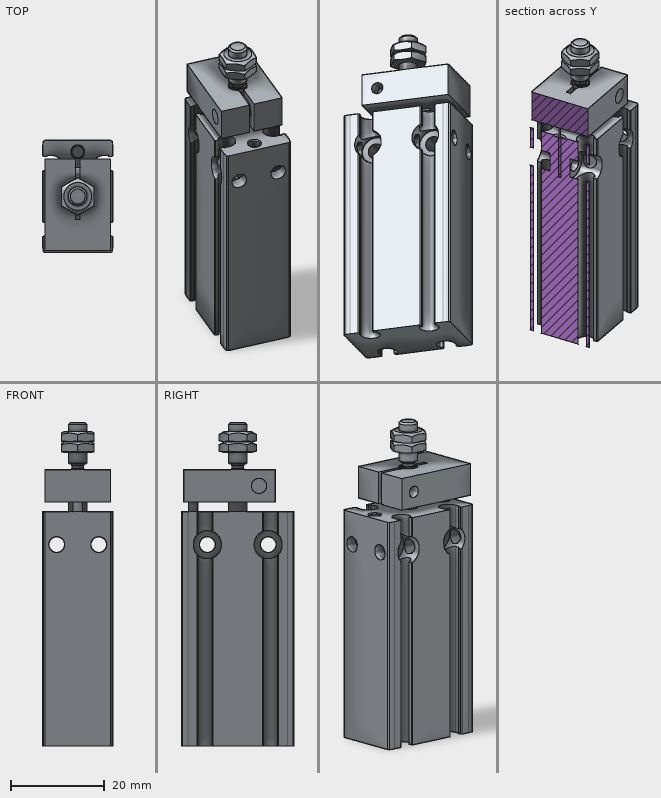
import cadquery as cq
import math

TOTAL_HEIGHT = 69.0
HOUSING_WIDTH = 15.0
HOUSING_DEPTH = 24.0
HOUSING_HEIGHT = 50.0
HALF_WIDTH = HOUSING_WIDTH / 2
HALF_DEPTH = HOUSING_DEPTH / 2

CORNER_DROP = 0.2
FLANK_CURVE_START = 10.55
CORNER_CHAMFER = 0.3

GROOVE_DIAMETER = 4.15
GROOVE_AXIS_X = 5.4
GROOVE_AXIS_Y = 6.6
SLOT_INNER_Y = 5.5
SLOT_OUTER_Y = 8.5
LIP_THICKNESS = 1.0
SLOT_EDGE_CHAMFER = 0.2

MOUNT_HOLE_DIAMETER = 3.3
MOUNT_HOLE_Z = 43.0
SIDE_HOLE_Y = 6.5
FRONT_HOLE_X = 4.5
COUNTERBORE_DIAMETER = 6.0
COUNTERBORE_DEPTH = 5.0

PORT_Y = 9.5
PORT_DIAMETER = 2.5
PORT_RIM_DIAMETER = 3.0
PORT_DEPTH = 3.0

ROD_DIAMETER = 4.0
ROD_INSERTION = 10.0
ROD_END_DIAMETER = 3.2
COLLAR_DIAMETER = 2.7
COLLAR_HEIGHT = 0.3
NECK_DIAMETER = 2.5
THREAD_START_Z = 60.2
SHOULDER_CHAMFER = 0.3
ROD_END_CHAMFER = (ROD_DIAMETER - ROD_END_DIAMETER) / 2

PLATE_WIDTH = 14.0
PLATE_BACK_Y = 8.0
PLATE_FRONT_Y = -11.5
PLATE_THICKNESS = 7.0
PLATE_GAP = 2.0
PLATE_BOTTOM_Z = HOUSING_HEIGHT + PLATE_GAP
PLATE_TOP_Z = PLATE_BOTTOM_Z + PLATE_THICKNESS
SLIT_WIDTH = 1.05
SLIT_FRONT_Y = -4.9
GUIDE_Y = -PORT_Y
GUIDE_DIAMETER = 2.0
GUIDE_INSERTION = 10.0
GUIDE_RECESS_FLOOR_DIAMETER = 3.0
GUIDE_RECESS_RIM_DIAMETER = 3.6

SCREW_Y = 4.55
SCREW_Z = PLATE_BOTTOM_Z + PLATE_THICKNESS / 2
SCREW_DIAMETER = 3.25
SCREW_ACCESS_DIAMETER = 2.5
SCREW_ACCESS_DEPTH = 3.5

NUT_ACROSS_FLATS = 7.0
NUT_FACE_DIAMETER = 5.9
NUT_THICKNESS = 2.2
NUT_COUNT = 2
HEXAGON_HALF_ANGLE = 30
NUT_STACK_BOTTOM_Z = 62.65
NUT_TOP_CHAMFER_ANGLE = 30
NUT_BOTTOM_CHAMFER_ANGLE = 15


def cylinder(diameter, z_bottom, z_top, y=0.0):
    """Upright cylinder between two heights."""
    return cq.Workplane("XY", origin=(0, y, z_bottom)).circle(diameter / 2).extrude(z_top - z_bottom)


def cylinder_along_x(diameter, x_start, x_end, y, z):
    return cq.Workplane("YZ", origin=(x_start, y, z)).circle(diameter / 2).extrude(x_end - x_start)


def cone_rim(rim_diameter, hole_diameter, y):
    """45 degree countersink at the top face of the housing."""
    depth = (rim_diameter - hole_diameter) / 2
    return (
        cq.Workplane("XY", origin=(0, y, HOUSING_HEIGHT - depth))
        .circle(hole_diameter / 2)
        .workplane(offset=depth)
        .circle(rim_diameter / 2)
        .loft()
    )


def housing_blank():
    """Extruded outline of the housing without grooves or holes."""
    corner_x = HALF_WIDTH - CORNER_DROP
    run = HALF_DEPTH - FLANK_CURVE_START
    radius = (run**2 + CORNER_DROP**2) / (2 * CORNER_DROP)
    mid_y = FLANK_CURVE_START + run / 2
    mid_x = HALF_WIDTH - radius + math.sqrt(radius**2 - (run / 2) ** 2)
    outline = (
        cq.Workplane("XY")
        .moveTo(-corner_x, -HALF_DEPTH)
        .lineTo(corner_x, -HALF_DEPTH)
        .threePointArc((mid_x, -mid_y), (HALF_WIDTH, -FLANK_CURVE_START))
        .lineTo(HALF_WIDTH, FLANK_CURVE_START)
        .threePointArc((mid_x, mid_y), (corner_x, HALF_DEPTH))
        .lineTo(-corner_x, HALF_DEPTH)
        .threePointArc((-mid_x, mid_y), (-HALF_WIDTH, FLANK_CURVE_START))
        .lineTo(-HALF_WIDTH, -FLANK_CURVE_START)
        .threePointArc((-mid_x, -mid_y), (-corner_x, -HALF_DEPTH))
        .close()
    )
    blank = outline.extrude(HOUSING_HEIGHT)
    return blank.faces("<Y or >Y").edges("|Z").chamfer(CORNER_CHAMFER)


def sensor_groove():
    """Cutter for the groove at +X, +Y: a narrow slot that opens into a round channel."""
    radius = GROOVE_DIAMETER / 2
    lip_x = HALF_WIDTH - LIP_THICKNESS
    channel_outer_y = GROOVE_AXIS_Y + radius
    slot = (
        cq.Workplane("XY")
        .moveTo(GROOVE_AXIS_X, SLOT_INNER_Y)
        .lineTo(HALF_WIDTH - SLOT_EDGE_CHAMFER, SLOT_INNER_Y)
        .lineTo(HALF_WIDTH, SLOT_INNER_Y - SLOT_EDGE_CHAMFER)
        .lineTo(HALF_WIDTH, SLOT_OUTER_Y + SLOT_EDGE_CHAMFER)
        .lineTo(HALF_WIDTH - SLOT_EDGE_CHAMFER, SLOT_OUTER_Y)
        .lineTo(lip_x, SLOT_OUTER_Y)
        .lineTo(lip_x, channel_outer_y)
        .lineTo(GROOVE_AXIS_X, channel_outer_y)
        .close()
        .extrude(HOUSING_HEIGHT)
    )
    channel = cq.Workplane("XY").center(GROOVE_AXIS_X, GROOVE_AXIS_Y).circle(radius).extrude(HOUSING_HEIGHT)
    lip = (
        cq.Workplane("XY")
        .center(lip_x + GROOVE_DIAMETER / 2, GROOVE_AXIS_Y)
        .rect(GROOVE_DIAMETER, 2 * GROOVE_DIAMETER)
        .extrude(HOUSING_HEIGHT)
    )
    return slot.union(channel.cut(lip))


def make_housing():
    """Housing with its sensor grooves, mounting holes, air port and rod bores."""
    housing = housing_blank()

    groove = sensor_groove()
    mirrored_groove = groove.mirror("XZ")
    for cutter in (groove, mirrored_groove):
        housing = housing.cut(cutter).cut(cutter.mirror("YZ"))

    for y in (-SIDE_HOLE_Y, SIDE_HOLE_Y):
        housing = housing.cut(cylinder_along_x(MOUNT_HOLE_DIAMETER, -HALF_WIDTH, HALF_WIDTH, y, MOUNT_HOLE_Z))
        for side in (-1, 1):
            floor_x = side * (HALF_WIDTH - COUNTERBORE_DEPTH)
            mouth_x = side * HALF_WIDTH
            housing = housing.cut(cylinder_along_x(COUNTERBORE_DIAMETER, floor_x, mouth_x, y, MOUNT_HOLE_Z))

    front_holes = (
        cq.Workplane("XZ", origin=(0, HALF_DEPTH, MOUNT_HOLE_Z))
        .pushPoints([(-FRONT_HOLE_X, 0), (FRONT_HOLE_X, 0)])
        .circle(MOUNT_HOLE_DIAMETER / 2)
        .extrude(HOUSING_DEPTH)
    )
    housing = housing.cut(front_holes)

    housing = housing.cut(cylinder(PORT_DIAMETER, HOUSING_HEIGHT - PORT_DEPTH, HOUSING_HEIGHT, PORT_Y))
    housing = housing.cut(cone_rim(PORT_RIM_DIAMETER, PORT_DIAMETER, PORT_Y))

    housing = housing.cut(cylinder(GUIDE_DIAMETER, HOUSING_HEIGHT - GUIDE_INSERTION, HOUSING_HEIGHT, GUIDE_Y))
    housing = housing.cut(cone_rim(GUIDE_RECESS_RIM_DIAMETER, GUIDE_RECESS_FLOOR_DIAMETER, GUIDE_Y))

    return housing.cut(cylinder(ROD_DIAMETER, HOUSING_HEIGHT - ROD_INSERTION, HOUSING_HEIGHT))


def make_piston_rod():
    """Shank, waisted neck and threaded end, all on the Z axis."""
    shank = cylinder(ROD_DIAMETER, HOUSING_HEIGHT - ROD_INSERTION, PLATE_TOP_Z)
    shank = shank.faces(">Z").chamfer(SHOULDER_CHAMFER)
    neck = cylinder(NECK_DIAMETER, PLATE_TOP_Z, THREAD_START_Z)
    lower_collar = cylinder(COLLAR_DIAMETER, PLATE_TOP_Z, PLATE_TOP_Z + COLLAR_HEIGHT)
    upper_collar = cylinder(COLLAR_DIAMETER, THREAD_START_Z - COLLAR_HEIGHT, THREAD_START_Z)
    thread = cylinder(ROD_DIAMETER, THREAD_START_Z, TOTAL_HEIGHT)
    thread = thread.faces("<Z").chamfer(SHOULDER_CHAMFER).faces(">Z").chamfer(ROD_END_CHAMFER)
    return shank.union(neck).union(lower_collar).union(upper_collar).union(thread)


def make_clamp_plate():
    """Slit plate that clamps the rod, with the guide pin that keeps it from turning."""
    depth = PLATE_BACK_Y - PLATE_FRONT_Y
    mid_y = (PLATE_BACK_Y + PLATE_FRONT_Y) / 2
    plate = (
        cq.Workplane("XY", origin=(0, mid_y, PLATE_BOTTOM_Z))
        .rect(PLATE_WIDTH, depth)
        .extrude(PLATE_THICKNESS)
    )
    slit_length = PLATE_BACK_Y - SLIT_FRONT_Y
    slit = (
        cq.Workplane("XY", origin=(0, SLIT_FRONT_Y + slit_length / 2, PLATE_BOTTOM_Z))
        .rect(SLIT_WIDTH, slit_length)
        .extrude(PLATE_THICKNESS)
    )
    plate = plate.cut(slit).cut(cylinder(ROD_DIAMETER, PLATE_BOTTOM_Z, PLATE_TOP_Z))

    access_x = -PLATE_WIDTH / 2
    access_end_x = access_x + SCREW_ACCESS_DEPTH
    plate = plate.cut(cylinder_along_x(SCREW_ACCESS_DIAMETER, access_x, access_end_x, SCREW_Y, SCREW_Z))
    plate = plate.cut(make_clamp_screw())

    guide_pin = cylinder(GUIDE_DIAMETER, HOUSING_HEIGHT - GUIDE_INSERTION, PLATE_BOTTOM_Z, GUIDE_Y)
    return plate.union(guide_pin)


def make_clamp_screw():
    """Plain shank from the bottom of the access hole to the +X face of the plate."""
    tip_x = -PLATE_WIDTH / 2 + SCREW_ACCESS_DEPTH
    return cylinder_along_x(SCREW_DIAMETER, tip_x, PLATE_WIDTH / 2, SCREW_Y, SCREW_Z)


def make_nut(z_bottom):
    """Hexagon nut with corners along Y and conical chamfers, steeper on the top face."""
    across_corners = NUT_ACROSS_FLATS / math.cos(math.radians(HEXAGON_HALF_ANGLE))
    corner_radius = across_corners / 2
    face_radius = NUT_FACE_DIAMETER / 2
    chamfer_run = corner_radius - face_radius
    top_drop = chamfer_run * math.tan(math.radians(NUT_TOP_CHAMFER_ANGLE))
    bottom_drop = chamfer_run * math.tan(math.radians(NUT_BOTTOM_CHAMFER_ANGLE))
    hexagon = (
        cq.Workplane("XY")
        .polygon(6, across_corners)
        .extrude(NUT_THICKNESS)
        .rotate((0, 0, 0), (0, 0, 1), HEXAGON_HALF_ANGLE)
    )
    double_cone = (
        cq.Workplane("XZ")
        .moveTo(0, 0)
        .lineTo(face_radius, 0)
        .lineTo(corner_radius, bottom_drop)
        .lineTo(corner_radius, NUT_THICKNESS - top_drop)
        .lineTo(face_radius, NUT_THICKNESS)
        .lineTo(0, NUT_THICKNESS)
        .close()
        .revolve(360, (0, 0, 0), (0, 1, 0))
    )
    nut = hexagon.intersect(double_cone).cut(cylinder(ROD_DIAMETER, 0, NUT_THICKNESS))
    return nut.translate((0, 0, z_bottom))


housing = make_housing()
piston_rod = make_piston_rod()
clamp_plate = make_clamp_plate()
clamp_screw = make_clamp_screw()
lock_nuts = [make_nut(NUT_STACK_BOTTOM_Z + i * NUT_THICKNESS) for i in range(NUT_COUNT)]

result = cq.Compound.makeCompound(
    [
        housing.val(),
        piston_rod.val(),
        clamp_plate.val(),
        clamp_screw.val(),
        *[nut.val() for nut in lock_nuts],
    ]
)